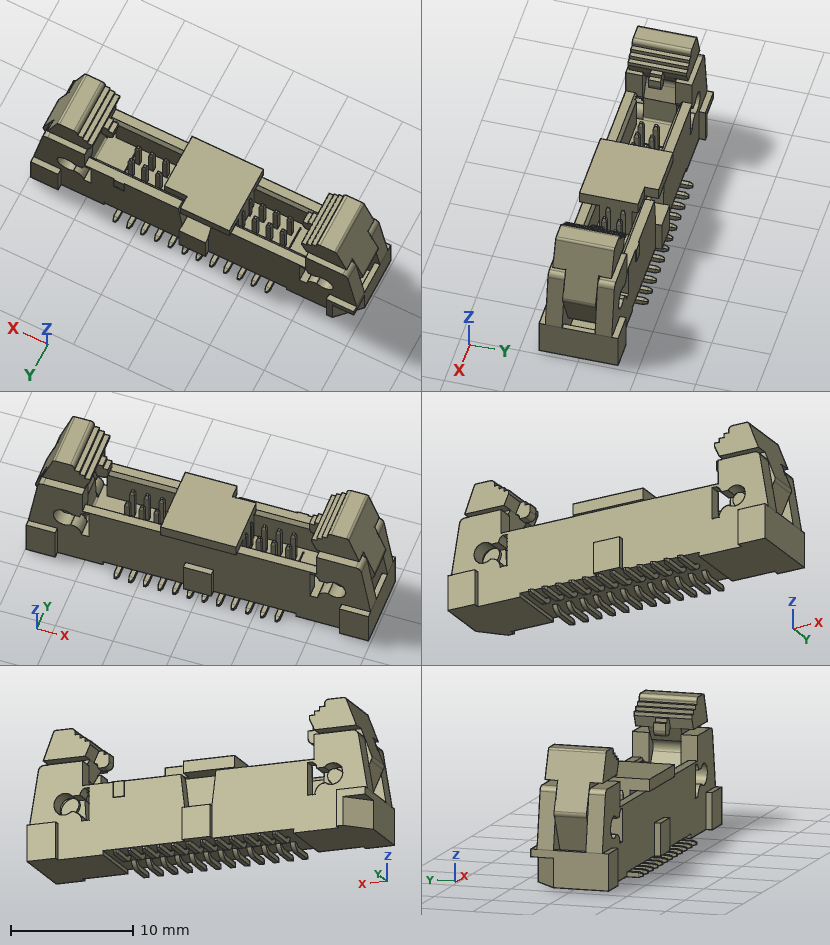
import cadquery as cq
import math


HALF_LENGTH = 14.85
BODY_HALF_WIDTH = 2.82
BLOCK_HALF_WIDTH = 3.35
LEDGE_Z = 3.12
WALL_TOP_Z = 6.15
TOWER_TOP_Z = 8.25

END_BLOCK_LENGTH = 2.53
MIDDLE_BLOCK_HALF_LENGTH = 1.22
RECESS_HALF_LENGTH = 8.38
RECESS_HEIGHT = 0.35

TOWER_INNER_X = 10.15
TOWER_TOP_OUTER_X = 14.0
TOWER_CORNER_RADIUS = 0.5

CAVITY_HALF_WIDTH = 1.75
CAVITY_CHAMFER_WIDTH = 0.27
CAVITY_CHAMFER_DEPTH = 0.35

RELIEF_HEIGHT = 2.47

KEY_TOP_HALF_LENGTH = 1.55
KEY_BOTTOM_HALF_LENGTH = 1.2

SLOT_HALF_WIDTH = 1.4
SLOT_INNER_X = 7.52
SLOT_END_WALL = 0.48
SLOT_FLOOR_Z = 0.9

PIVOT_X = 11.77
PIVOT_Z = 4.73
PIVOT_HOLE_RADIUS = 0.92
THROAT_TOP_Z = 5.35
THROAT_BOTTOM_Z = 4.0
THROAT_TOP_END_X = 10.4
THROAT_BOTTOM_END_X = 11.15
WINDOW_INNER_X = 9.6
WINDOW_TOP_Z = 5.9
WINDOW_TOP_OUTER_X = 10.0
WINDOW_TOP_FLARE_POINT = (10.25, 5.7)
WINDOW_BOTTOM_OUTER_X = 10.25

MARK_X = 6.5
MARK_LENGTH = 0.95
MARK_HEIGHT = 1.35
MARK_THICKNESS = 0.1

CONTACTS_PER_ROW = 12
CONTACT_ROW_LENGTH = 13.97
CONTACT_PITCH = CONTACT_ROW_LENGTH / (CONTACTS_PER_ROW - 1)
CONTACT_SIZE = 0.42
CONTACT_TIP_LENGTH = 0.35
CONTACT_TIP_SIZE = 0.2
CONTACT_TOP_Z = 6.1
CONTACT_BOTTOM_Z = -0.3
CONTACT_REACH = 7.52 / 2
BEND_OUTER_RADIUS = 1.05

LATCH_TOP_Z = 11.25
HEAD_HALF_WIDTH = 2.5
HEAD_BOTTOM_Z = 8.77
HEAD_TOP_OUTER_X = 12.8
HEAD_TOP_INNER_X = 10.97
HEAD_BOTTOM_INNER_X = 10.08
HEAD_OUTER_RADIUS = 0.25
HEAD_INNER_RADIUS = 0.35

STEP_LENGTH = 0.45
STEP_HEIGHT = 0.33
FIRST_STEP_Z = 10.7
HEAD_STEPS = 3
NOSE_STEPS = 2

NOSE_HALF_WIDTH = 0.5
NOSE_TOP_Z = FIRST_STEP_Z - STEP_HEIGHT * HEAD_STEPS
NOSE_BOTTOM_Z = TOWER_TOP_Z
NOSE_TIP_X = HEAD_TOP_INNER_X - STEP_LENGTH * (HEAD_STEPS + NOSE_STEPS)
NOSE_ROOT_X = 9.72
NOSE_ROOT_CORNER = (9.8, 8.62)
NOSE_CORNER_RADIUS = 0.48

BULGE_TOP = (14.68, 6.35)
BULGE_MIDDLE = (14.7, 6.15)
BULGE_BOTTOM = (14.62, 5.95)
HEEL_X = 12.95
HEEL_Z = 2.45
FOOT_OUTER_X = 11.4
TOE_INNER_X = 7.6
TOE_BLEND_RADIUS = 0.18
ARM_BASE_X = 10.4
LATCH_INNER_X = 10.52
ARM_SLOPE_Z = 5.35
GROOVE_BOTTOM = (11.17, 6.55)
GROOVE_MIDDLE = (11.25, 7.07)
GROOVE_TOP = (10.88, 7.55)
HEAD_BOTTOM_OUTER_X = BULGE_TOP[0] - (BULGE_TOP[0] - HEAD_TOP_OUTER_X) * (
    (HEAD_BOTTOM_Z - BULGE_TOP[1]) / (LATCH_TOP_Z - BULGE_TOP[1])
)

BOSS_OFFSET = 0.05
BOSS_LONG_RADIUS = 0.9
BOSS_SHORT_RADIUS = 0.65
BOSS_LENGTH = 0.3
BOSS_ANGLE = 45

CAP_HALF_LENGTH = 6.57 / 2
CAP_HALF_WIDTH = 3.1
CAP_THICKNESS = 1.0
CAP_NOTCH_X = 1.22
CAP_NOTCH_Y = 1.9
PLUG_HALF_WIDTH = 1.4
PLUG_BOTTOM_Z = 3.42


def box(x0, x1, y0, y1, z0, z1):
    return cq.Workplane("XY").box(x1 - x0, y1 - y0, z1 - z0, centered=False).translate((x0, y0, z0))


def extrude_across(profile, y0, y1):
    """Extrude a closed XZ profile from y0 to y1."""
    return profile.extrude(y0 - y1).translate((0, y0, 0))


def both_ends(shape):
    """A feature of the +X end together with its mirror image at the -X end."""
    return shape.union(shape.mirror("YZ"))


def make_tower():
    """The raised, tapered +X end of the housing."""
    profile = (
        cq.Workplane("XZ")
        .moveTo(TOWER_INNER_X, 0)
        .lineTo(HALF_LENGTH, 0)
        .lineTo(HALF_LENGTH, LEDGE_Z)
        .lineTo(TOWER_TOP_OUTER_X, TOWER_TOP_Z)
        .lineTo(TOWER_INNER_X, TOWER_TOP_Z)
        .close()
    )
    tower = extrude_across(profile, -BODY_HALF_WIDTH, BODY_HALF_WIDTH)
    return tower.edges("|Y").edges(">Z").edges(">X").fillet(TOWER_CORNER_RADIUS)


def make_keyhole():
    """Latch pivot hole, its flared throat and the window beside it, cut through both towers."""
    flare = (
        cq.Workplane("XZ")
        .moveTo(PIVOT_X, THROAT_BOTTOM_Z)
        .lineTo(THROAT_BOTTOM_END_X, THROAT_BOTTOM_Z)
        .tangentArcPoint((WINDOW_BOTTOM_OUTER_X, LEDGE_Z), relative=False)
        .lineTo(WINDOW_INNER_X, LEDGE_Z)
        .lineTo(WINDOW_INNER_X, WINDOW_TOP_Z)
        .lineTo(WINDOW_TOP_OUTER_X, WINDOW_TOP_Z)
        .threePointArc(WINDOW_TOP_FLARE_POINT, (THROAT_TOP_END_X, THROAT_TOP_Z))
        .lineTo(PIVOT_X, THROAT_TOP_Z)
        .close()
    )
    hole = cq.Workplane("XZ").center(PIVOT_X, PIVOT_Z).circle(PIVOT_HOLE_RADIUS)
    reach = (-BODY_HALF_WIDTH, BODY_HALF_WIDTH)
    return extrude_across(flare, *reach).union(extrude_across(hole, *reach))


def make_cavity():
    """Mating cavity with a lead-in chamfer along both long walls."""
    top_half_width = CAVITY_HALF_WIDTH + CAVITY_CHAMFER_WIDTH
    chamfer_z = WALL_TOP_Z - CAVITY_CHAMFER_DEPTH
    return (
        cq.Workplane("YZ")
        .moveTo(-CAVITY_HALF_WIDTH, LEDGE_Z)
        .lineTo(CAVITY_HALF_WIDTH, LEDGE_Z)
        .lineTo(CAVITY_HALF_WIDTH, chamfer_z)
        .lineTo(top_half_width, WALL_TOP_Z)
        .lineTo(-top_half_width, WALL_TOP_Z)
        .lineTo(-CAVITY_HALF_WIDTH, chamfer_z)
        .close()
        .extrude(TOWER_INNER_X, both=True)
    )


def make_key_slot():
    """Tapered polarising notch through the +Y wall."""
    profile = cq.Workplane("XZ").polyline([
        (-KEY_BOTTOM_HALF_LENGTH, LEDGE_Z),
        (KEY_BOTTOM_HALF_LENGTH, LEDGE_Z),
        (KEY_TOP_HALF_LENGTH, WALL_TOP_Z),
        (-KEY_TOP_HALF_LENGTH, WALL_TOP_Z),
    ]).close()
    return extrude_across(profile, 0, BODY_HALF_WIDTH)


def make_latch_slot():
    """Slot for the +X latch: open at the end above the block, walled off inside the block."""
    lower = box(
        SLOT_INNER_X, HALF_LENGTH - SLOT_END_WALL, -SLOT_HALF_WIDTH, SLOT_HALF_WIDTH,
        SLOT_FLOOR_Z, LEDGE_Z,
    )
    upper = box(
        SLOT_INNER_X, HALF_LENGTH, -SLOT_HALF_WIDTH, SLOT_HALF_WIDTH,
        LEDGE_Z, TOWER_TOP_Z,
    )
    return lower.union(upper)


def make_corner_relief():
    """45 degree cut across the lower -X, +Y corner, leaving a thin lip above it."""
    return cq.Workplane("XY").polyline([
        (-HALF_LENGTH, SLOT_HALF_WIDTH),
        (-HALF_LENGTH, BLOCK_HALF_WIDTH),
        (-HALF_LENGTH + BLOCK_HALF_WIDTH - SLOT_HALF_WIDTH, BLOCK_HALF_WIDTH),
    ]).close().extrude(RELIEF_HEIGHT)


def make_housing():
    body = box(-HALF_LENGTH, HALF_LENGTH, -BODY_HALF_WIDTH, BODY_HALF_WIDTH, 0, LEDGE_Z)
    body = body.union(
        box(-TOWER_INNER_X, TOWER_INNER_X, -BODY_HALF_WIDTH, BODY_HALF_WIDTH, 0, WALL_TOP_Z)
    )
    body = body.union(both_ends(make_tower()))
    body = body.union(both_ends(
        box(HALF_LENGTH - END_BLOCK_LENGTH, HALF_LENGTH, -BLOCK_HALF_WIDTH, BLOCK_HALF_WIDTH, 0, LEDGE_Z)
    ))
    body = body.union(box(
        -MIDDLE_BLOCK_HALF_LENGTH, MIDDLE_BLOCK_HALF_LENGTH,
        -BLOCK_HALF_WIDTH, BLOCK_HALF_WIDTH, 0, LEDGE_Z,
    ))
    body = body.union(box(
        MARK_X, MARK_X + MARK_LENGTH, BODY_HALF_WIDTH, BODY_HALF_WIDTH + MARK_THICKNESS,
        WALL_TOP_Z - MARK_HEIGHT, WALL_TOP_Z,
    ))
    body = body.cut(box(
        -RECESS_HALF_LENGTH, RECESS_HALF_LENGTH,
        -BLOCK_HALF_WIDTH, BLOCK_HALF_WIDTH, 0, RECESS_HEIGHT,
    ))
    body = body.cut(make_cavity()).cut(make_key_slot())
    body = body.cut(both_ends(make_latch_slot())).cut(both_ends(make_keyhole()))
    return body.cut(make_corner_relief())


def stair_points(first, last):
    """Corner points of finger-grip steps first..last-1, going down and towards the middle."""
    points = []
    for i in range(first, last):
        x = HEAD_TOP_INNER_X - STEP_LENGTH * i
        z = FIRST_STEP_Z - STEP_HEIGHT * i
        points += [(x, z), (x - STEP_LENGTH, z)]
    return points


def make_latch_head():
    profile = cq.Workplane("XZ").polyline([
        (HEAD_BOTTOM_OUTER_X, HEAD_BOTTOM_Z),
        (HEAD_TOP_OUTER_X, LATCH_TOP_Z),
        (HEAD_TOP_INNER_X, LATCH_TOP_Z),
        *stair_points(0, HEAD_STEPS),
        (HEAD_TOP_INNER_X - STEP_LENGTH * HEAD_STEPS, NOSE_TOP_Z),
        (HEAD_BOTTOM_INNER_X, HEAD_BOTTOM_Z),
    ]).close()
    head = extrude_across(profile, -HEAD_HALF_WIDTH, HEAD_HALF_WIDTH)
    head = head.edges("|Y").edges(">Z").edges(">X").fillet(HEAD_OUTER_RADIUS)
    return head.edges("|Y").edges(">Z").edges("<X").fillet(HEAD_INNER_RADIUS)


def make_latch_nose():
    """Narrow hook that carries the finger-grip steps on beyond the head."""
    profile = cq.Workplane("XZ").polyline([
        (LATCH_INNER_X, NOSE_TOP_Z),
        *stair_points(HEAD_STEPS, HEAD_STEPS + NOSE_STEPS),
        (NOSE_TIP_X, NOSE_BOTTOM_Z),
        (NOSE_ROOT_X, NOSE_BOTTOM_Z),
        NOSE_ROOT_CORNER,
        (HEAD_BOTTOM_INNER_X, HEAD_BOTTOM_Z),
        (LATCH_INNER_X, HEAD_BOTTOM_Z),
    ]).close()
    nose = extrude_across(profile, -NOSE_HALF_WIDTH, NOSE_HALF_WIDTH)
    return nose.edges("|Y").edges("<Z").edges("<X").fillet(NOSE_CORNER_RADIUS)


def make_latch_arm():
    """Arm that fills the slot, with a foot on the slot floor and a toe towards the middle."""
    profile = (
        cq.Workplane("XZ")
        .moveTo(HEAD_BOTTOM_OUTER_X, HEAD_BOTTOM_Z)
        .lineTo(*BULGE_TOP)
        .threePointArc(BULGE_MIDDLE, BULGE_BOTTOM)
        .lineTo(HEEL_X, HEEL_Z)
        .lineTo(FOOT_OUTER_X, SLOT_FLOOR_Z)
        .lineTo(TOE_INNER_X, SLOT_FLOOR_Z)
        .lineTo(TOE_INNER_X, LEDGE_Z)
        .lineTo(ARM_BASE_X - TOE_BLEND_RADIUS, LEDGE_Z)
        .tangentArcPoint((ARM_BASE_X, LEDGE_Z + TOE_BLEND_RADIUS), relative=False)
        .lineTo(LATCH_INNER_X, ARM_SLOPE_Z)
        .lineTo(*GROOVE_BOTTOM)
        .threePointArc(GROOVE_MIDDLE, GROOVE_TOP)
        .lineTo(HEAD_BOTTOM_INNER_X, HEAD_BOTTOM_Z)
        .close()
    )
    return extrude_across(profile, -SLOT_HALF_WIDTH, SLOT_HALF_WIDTH)


def make_latch_boss():
    """Oval pivot boss that stands out at both sides of the arm, turned by 45 degrees."""
    reach = SLOT_HALF_WIDTH + BOSS_LENGTH
    boss = extrude_across(cq.Workplane("XZ").ellipse(BOSS_LONG_RADIUS, BOSS_SHORT_RADIUS), -reach, reach)
    return boss.rotate((0, 0, 0), (0, 1, 0), BOSS_ANGLE).translate((PIVOT_X - BOSS_OFFSET, 0, PIVOT_Z))


def make_latch():
    """The latch of the +X end."""
    return make_latch_arm().union(make_latch_head()).union(make_latch_nose()).union(make_latch_boss())


def contact_tip(plane):
    """Tapered square tip that starts on the given plane."""
    return (
        cq.Workplane(plane).rect(CONTACT_SIZE, CONTACT_SIZE)
        .workplane(offset=CONTACT_TIP_LENGTH).rect(CONTACT_TIP_SIZE, CONTACT_TIP_SIZE).loft()
    )


def make_contact():
    """Bent contact of the +Y row: upright post, rounded bend and solder tail."""
    half = CONTACT_SIZE / 2
    post_y = CONTACT_PITCH / 2
    bend_y = post_y - half + BEND_OUTER_RADIUS
    bend_z = CONTACT_BOTTOM_Z + BEND_OUTER_RADIUS
    inner_radius = BEND_OUTER_RADIUS - CONTACT_SIZE
    diagonal = math.sqrt(0.5)
    shaft_top = CONTACT_TOP_Z - CONTACT_TIP_LENGTH
    tail_end = CONTACT_REACH - CONTACT_TIP_LENGTH
    shaft = (
        cq.Workplane("YZ")
        .moveTo(post_y - half, shaft_top)
        .lineTo(post_y - half, bend_z)
        .threePointArc(
            (bend_y - BEND_OUTER_RADIUS * diagonal, bend_z - BEND_OUTER_RADIUS * diagonal),
            (bend_y, CONTACT_BOTTOM_Z),
        )
        .lineTo(tail_end, CONTACT_BOTTOM_Z)
        .lineTo(tail_end, CONTACT_BOTTOM_Z + CONTACT_SIZE)
        .lineTo(bend_y, CONTACT_BOTTOM_Z + CONTACT_SIZE)
        .threePointArc(
            (bend_y - inner_radius * diagonal, bend_z - inner_radius * diagonal),
            (post_y + half, bend_z),
        )
        .lineTo(post_y + half, shaft_top)
        .close()
        .extrude(half, both=True)
    )
    post_tip = contact_tip("XY").translate((0, post_y, shaft_top))
    tail_tip = contact_tip("XZ").mirror("XZ").translate((0, tail_end, CONTACT_BOTTOM_Z + half))
    return shaft.union(post_tip).union(tail_tip)


def make_contacts():
    contact = make_contact()
    contacts = []
    for i in range(CONTACTS_PER_ROW):
        x = i * CONTACT_PITCH - CONTACT_ROW_LENGTH / 2
        for row in (contact, contact.mirror("XZ")):
            contacts.append(row.translate((x, 0, 0)).val())
    return cq.Workplane(cq.Compound.makeCompound(contacts))


def make_header(contacts):
    """One body: the housing with its latches and contacts fixed in place."""
    return make_housing().union(both_ends(make_latch())).union(contacts)


def make_cap(contacts):
    """Flat pick-up cap whose plug fits around the contacts."""
    cap = box(
        -CAP_HALF_LENGTH, CAP_HALF_LENGTH, -CAP_HALF_WIDTH, CAP_HALF_WIDTH,
        WALL_TOP_Z, WALL_TOP_Z + CAP_THICKNESS,
    )
    cap = cap.cut(box(
        CAP_NOTCH_X, CAP_HALF_LENGTH, CAP_NOTCH_Y, CAP_HALF_WIDTH,
        WALL_TOP_Z, WALL_TOP_Z + CAP_THICKNESS,
    ))
    cap = cap.union(box(
        -CAP_HALF_LENGTH, CAP_HALF_LENGTH, -PLUG_HALF_WIDTH, PLUG_HALF_WIDTH,
        PLUG_BOTTOM_Z, WALL_TOP_Z,
    ))
    return cap.cut(contacts)


contacts = make_contacts()
header = make_header(contacts)
cap = make_cap(contacts)
result = cq.Compound.makeCompound([header.solids().val(), cap.solids().val()])